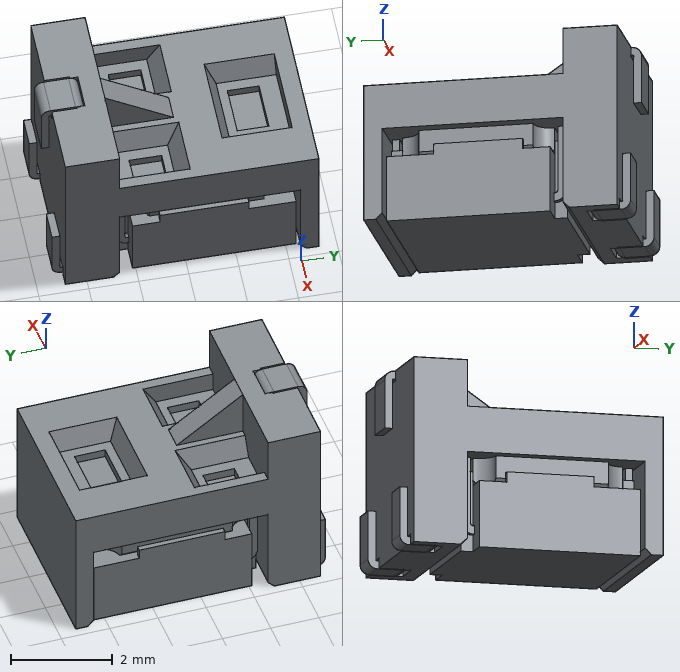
import cadquery as cq


WIDTH = 3.61
HEIGHT = 3.71
DEPTH = 5.075
DECK_Z = 2.775
WALL_BACK_Y = 1.09
TUNNEL_BACK_Y = 4.705
TUNNEL_TOP_Z = 1.87
FOOT_CHAMFER = 0.125

RIB_WIDTH = 0.505
RIB_BACK_Y = 2.46

POCKET_FLOOR_Z = DECK_Z - 0.395
WINDOW_DEPTH = 0.17
REAR_MOUTH_HALF = 0.94
REAR_FLOOR_HALF = 0.73
REAR_MOUTH_FRONT_Y = 3.3
REAR_FLOOR_FRONT_Y = 3.5
REAR_WINDOW_HALF = 0.51
REAR_WINDOW_Y = (3.685, 4.32)
SIDE_OUTER_X = 1.585
SIDE_MOUTH_INNER_X = 0.39
SIDE_FLOOR_INNER_X = 0.605
SIDE_MOUTH_BACK_Y = 2.54
SIDE_FLOOR_BACK_Y = 2.275
SIDE_WINDOW_X = (0.84, 1.345)
SIDE_WINDOW_Y = (1.46, 2.11)

LEAD_FRONT_Y = DEPTH - 5.28
LEAD_THICKNESS = 0.16
LEAD_LENGTH = 1.15
LEAD_BEND = 0.185
LEAD_INNER_BEND = LEAD_BEND - LEAD_THICKNESS
LEAD_BACK_Y = 0.665
NOTCH_BACK_Y = 0.5
NOTCH_DEPTH = 0.2
TOP_LEAD_WIDTH = 0.73
TOP_NOTCH_WIDTH = 0.8
BOTTOM_LEAD_WIDTH = 0.595
BOTTOM_NOTCH_WIDTH = 0.715
BOTTOM_LEAD_X = 1.195

INSERT_HALF = 1.65
INSERT_FRONT_Y = 1.375
INSERT_BACK_Y = 4.645
INSERT_TOP_Z = 1.33
TAB_TOP_Z = 1.535
TAB_FRONT_Y = 1.925
TAB_BACK_Y = 3.705
TAB_THICKNESS = 0.11

CARRIER_HALF = INSERT_HALF - TAB_THICKNESS
CARRIER_BODY_Y = (1.735, 4.03)
CARRIER_END_Y = (INSERT_FRONT_Y, 4.425)
CARRIER_CHAMFER = 0.095

PLATE_HALF = 1.16
BACK_PLATE_HALF = 1.055
SPRING_HALF = 1.265
SHELF_Z = 1.605
BACK_PLATE_FRONT_Y = 4.505
SPRING_FRONT_Y = 1.125
SPRING_THICKNESS = 0.17
SPRING_FOOT_Z = 0.33
SPRING_BEND = 0.22


def box(x_range, y_range, z_range):
    """Box spanning the given ranges along X, Y and Z."""
    size = [high - low for low, high in (x_range, y_range, z_range)]
    corner = (x_range[0], y_range[0], z_range[0])
    return cq.Workplane("XY").box(*size, centered=False).translate(corner)


def wide_box(half_width, y_range, z_range):
    """Box centred on X = 0."""
    return box((-half_width, half_width), y_range, z_range)


def extrude_profile(points, width):
    """Closed outline of (y, z) points, extruded symmetrically about X = 0."""
    return cq.Workplane("YZ").polyline(points).close().extrude(width / 2, both=True)


def mirror_x(shape):
    return shape.mirror("YZ")


def make_housing():
    outline = [
        (0, 0),
        (WALL_BACK_Y - FOOT_CHAMFER, 0),
        (WALL_BACK_Y, FOOT_CHAMFER),
        (WALL_BACK_Y, TUNNEL_TOP_Z),
        (TUNNEL_BACK_Y, TUNNEL_TOP_Z),
        (TUNNEL_BACK_Y, FOOT_CHAMFER),
        (TUNNEL_BACK_Y + FOOT_CHAMFER, 0),
        (DEPTH, 0),
        (DEPTH, DECK_Z),
        (WALL_BACK_Y, DECK_Z),
        (WALL_BACK_Y, HEIGHT),
        (0, HEIGHT),
    ]
    rib = [(WALL_BACK_Y, DECK_Z), (RIB_BACK_Y, DECK_Z), (WALL_BACK_Y, HEIGHT)]
    return extrude_profile(outline, WIDTH).union(extrude_profile(rib, RIB_WIDTH))


def tapered_pocket(floor_x, floor_y, mouth_x, mouth_y):
    """Pocket from a rectangular floor up to a larger rectangular mouth at deck level."""
    def rectangle(x_range, y_range, z):
        corners = [(x_range[0], y_range[0]), (x_range[1], y_range[0]),
                   (x_range[1], y_range[1]), (x_range[0], y_range[1])]
        return cq.Wire.makePolygon([cq.Vector(x, y, z) for x, y in corners], close=True)

    floor = rectangle(floor_x, floor_y, POCKET_FLOOR_Z)
    mouth = rectangle(mouth_x, mouth_y, DECK_Z)
    return cq.Workplane(cq.Solid.makeLoft([floor, mouth], True))


def make_deck_recesses():
    window_z = (POCKET_FLOOR_Z - WINDOW_DEPTH, POCKET_FLOOR_Z)
    rear = tapered_pocket(
        (-REAR_FLOOR_HALF, REAR_FLOOR_HALF), (REAR_FLOOR_FRONT_Y, TUNNEL_BACK_Y),
        (-REAR_MOUTH_HALF, REAR_MOUTH_HALF), (REAR_MOUTH_FRONT_Y, TUNNEL_BACK_Y),
    ).union(wide_box(REAR_WINDOW_HALF, REAR_WINDOW_Y, window_z))
    side = tapered_pocket(
        (SIDE_FLOOR_INNER_X, SIDE_OUTER_X), (WALL_BACK_Y, SIDE_FLOOR_BACK_Y),
        (SIDE_MOUTH_INNER_X, SIDE_OUTER_X), (WALL_BACK_Y, SIDE_MOUTH_BACK_Y),
    ).union(box(SIDE_WINDOW_X, SIDE_WINDOW_Y, window_z))
    return [rear, side, mirror_x(side)]


def make_lead(width):
    """Lead along the underside of the front wall, bent up in front of it and into the wall behind."""
    front = box((-width / 2, width / 2), (LEAD_FRONT_Y, LEAD_BACK_Y), (0, LEAD_LENGTH))
    inner = box(
        (-width / 2, width / 2),
        (LEAD_FRONT_Y + LEAD_THICKNESS, LEAD_BACK_Y),
        (LEAD_THICKNESS, LEAD_LENGTH),
    ).edges("|X and <Y and <Z").fillet(LEAD_INNER_BEND)
    return front.edges("|X and <Z").fillet(LEAD_BEND).cut(inner)


def make_lead_notch(lead_width, notch_width):
    """Clearance around a lead, narrowing to the lead width where the lead enters the wall."""
    wide = wide_box(notch_width / 2, (0, NOTCH_BACK_Y), (0, NOTCH_DEPTH))
    narrow = wide_box(lead_width / 2, (0, LEAD_BACK_Y), (0, NOTCH_DEPTH))
    return wide.union(narrow)


def place_at_leads(top_shape, bottom_shape):
    """Put one shape at the top lead and one at each of the two bottom leads."""
    right = bottom_shape.translate((BOTTOM_LEAD_X, 0, 0))
    top = top_shape.mirror("XY").translate((0, 0, HEIGHT))
    return [top, right, mirror_x(right)]


def make_insert():
    insert = wide_box(INSERT_HALF, (INSERT_FRONT_Y, INSERT_BACK_Y), (0, INSERT_TOP_Z))
    tab = box(
        (-INSERT_HALF, -CARRIER_HALF), (TAB_FRONT_Y, TAB_BACK_Y), (INSERT_TOP_Z, TAB_TOP_Z)
    )
    return insert.union(tab).union(mirror_x(tab))


def make_carrier():
    """Block whose side faces sweep back at both ends in concave quarter arcs."""
    front_y, back_y = CARRIER_END_Y
    body_front_y, body_back_y = CARRIER_BODY_Y
    front_radius = body_front_y - front_y
    back_radius = back_y - body_back_y
    front_x = CARRIER_HALF - front_radius
    back_x = CARRIER_HALF - back_radius
    return (
        cq.Workplane("XY", origin=(0, 0, INSERT_TOP_Z))
        .moveTo(-front_x, front_y)
        .lineTo(front_x, front_y)
        .radiusArc((CARRIER_HALF, body_front_y), front_radius)
        .lineTo(CARRIER_HALF, body_back_y)
        .radiusArc((back_x, back_y), back_radius)
        .lineTo(-back_x, back_y)
        .radiusArc((-CARRIER_HALF, body_back_y), back_radius)
        .lineTo(-CARRIER_HALF, body_front_y)
        .radiusArc((-front_x, front_y), front_radius)
        .close()
        .extrude(TUNNEL_TOP_Z - INSERT_TOP_Z)
        .faces("<Z").edges("|X or |Y").chamfer(CARRIER_CHAMFER)
    )


def make_plates():
    front = wide_box(PLATE_HALF, (SPRING_FRONT_Y, INSERT_FRONT_Y), (0, SHELF_Z))
    back_shelf = wide_box(PLATE_HALF, (CARRIER_END_Y[1], INSERT_BACK_Y), (INSERT_TOP_Z, SHELF_Z))
    back = wide_box(BACK_PLATE_HALF, (BACK_PLATE_FRONT_Y, INSERT_BACK_Y), (SHELF_Z, TUNNEL_TOP_Z))
    return [front, back_shelf, back]


def make_spring():
    """Upright strip that hangs from the tunnel roof and curls into the front of the insert."""
    bend_z = SPRING_FOOT_Z + SPRING_BEND
    inner_bend = SPRING_BEND - SPRING_THICKNESS
    inner_y = SPRING_FRONT_Y + SPRING_THICKNESS
    bend_y = SPRING_FRONT_Y + SPRING_BEND
    foot_top_z = SPRING_FOOT_Z + SPRING_THICKNESS
    return (
        cq.Workplane("YZ")
        .moveTo(SPRING_FRONT_Y, TUNNEL_TOP_Z)
        .lineTo(SPRING_FRONT_Y, bend_z)
        .radiusArc((bend_y, SPRING_FOOT_Z), -SPRING_BEND)
        .lineTo(INSERT_FRONT_Y, SPRING_FOOT_Z)
        .lineTo(INSERT_FRONT_Y, foot_top_z)
        .lineTo(bend_y, foot_top_z)
        .radiusArc((inner_y, bend_z), inner_bend)
        .lineTo(inner_y, TUNNEL_TOP_Z)
        .close()
        .extrude(SPRING_HALF, both=True)
    )


notches = place_at_leads(
    make_lead_notch(TOP_LEAD_WIDTH, TOP_NOTCH_WIDTH),
    make_lead_notch(BOTTOM_LEAD_WIDTH, BOTTOM_NOTCH_WIDTH),
)
leads = place_at_leads(make_lead(TOP_LEAD_WIDTH), make_lead(BOTTOM_LEAD_WIDTH))

result = make_housing()
for cutter in make_deck_recesses() + notches:
    result = result.cut(cutter)
for piece in leads + [make_insert(), make_carrier(), make_spring()] + make_plates():
    result = result.union(piece)